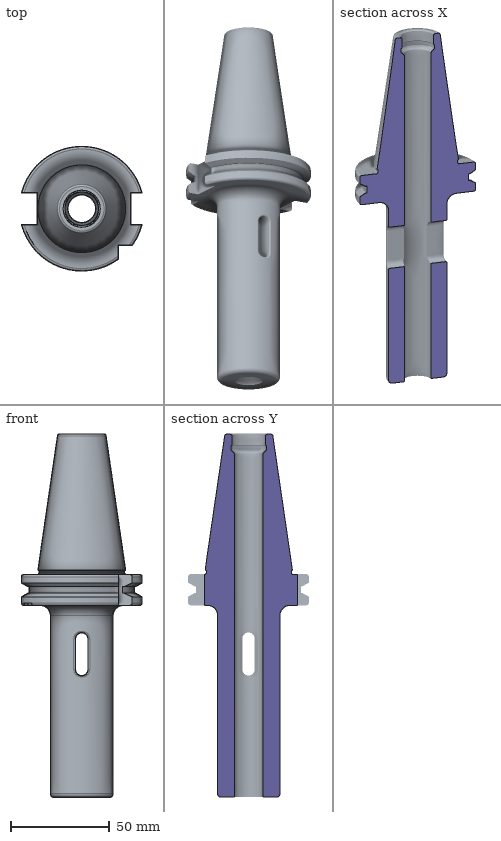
import cadquery as cq
import math

TOTAL_HEIGHT = 185.4
GAUGE_HEIGHT = 117.0
FLANGE_TOP = 113.8
FLANGE_BOTTOM = 97.9

GAUGE_RADIUS = 22.2
TAPER_SLOPE = 7 / 24 / 2
TAPER_OVERRUN = 1.0
TIP_FILLET = 1.1

RELIEF_DEPTH = 0.5
RELIEF_SIDE_HEIGHT = 0.5

FLANGE_RADIUS = 63.5 / 2
FLANGE_EDGE_FILLET = 1.3
GROOVE_HEIGHT = 105.9
GROOVE_WIDTH = 7.0
GROOVE_FLOOR_WIDTH = 3.3
GROOVE_FLOOR_RADIUS = 28.0
GROOVE_SIDE_ANGLE = 30

SLOT_WIDTH = 16.1
LEFT_SLOT_FLOOR = 22.8
RIGHT_SLOT_FLOOR = 25.0
NOTCH_OFFSET = 18.7

BODY_RADIUS = 32.0 / 2
NECK_FILLET = 5.0
BODY_END_FILLET = 2.0

BORE_RADIUS = 7.0
COUNTERBORE_RADIUS = 8.5
COUNTERBORE_DEPTH = 8.5
UNDERCUT_WIDTH = 2.8
UNDERCUT_STEP = 0.4
SEAT_DEPTH = 1.5
MOUTH_RADIUS = 9.5
MOUTH_DEPTH = 0.5

DRIFT_WIDTH = 6.3
DRIFT_LENGTH = 21.9
DRIFT_HEIGHT = 73.0
DRIFT_FILLET = 0.7


def taper_radius(height):
    return GAUGE_RADIUS - (height - GAUGE_HEIGHT) * TAPER_SLOPE


def make_body():
    """Cylinder with a rounded end, flaring into the flange underside."""
    corner = math.sqrt(0.5)
    end_mid = (
        BODY_RADIUS - BODY_END_FILLET * (1 - corner),
        BODY_END_FILLET * (1 - corner),
    )
    neck_mid = (
        BODY_RADIUS + NECK_FILLET * (1 - corner),
        FLANGE_BOTTOM - NECK_FILLET * (1 - corner),
    )
    return (
        cq.Workplane("XZ")
        .lineTo(BODY_RADIUS - BODY_END_FILLET, 0)
        .threePointArc(end_mid, (BODY_RADIUS, BODY_END_FILLET))
        .lineTo(BODY_RADIUS, FLANGE_BOTTOM - NECK_FILLET)
        .threePointArc(neck_mid, (BODY_RADIUS + NECK_FILLET, FLANGE_BOTTOM))
        .lineTo(0, FLANGE_BOTTOM)
        .close()
        .revolve(360, (0, 0), (0, 1))
    )


def flange_block(x_min, x_max, y_min, y_max):
    """Rectangular block as tall as the flange."""
    return (
        cq.Workplane("XY", origin=(x_min, y_min, FLANGE_BOTTOM))
        .rect(x_max - x_min, y_max - y_min, centered=False)
        .extrude(FLANGE_TOP - FLANGE_BOTTOM)
    )


def make_flange():
    """Disc with rounded rims, a V groove with a stepped floor, two drive slots and a notch."""
    flange = (
        cq.Workplane("XY", origin=(0, 0, FLANGE_BOTTOM))
        .circle(FLANGE_RADIUS)
        .extrude(FLANGE_TOP - FLANGE_BOTTOM)
        .edges()
        .fillet(FLANGE_EDGE_FILLET)
    )

    half_mouth = GROOVE_WIDTH / 2
    half_floor = GROOVE_FLOOR_WIDTH / 2
    side_depth = (half_mouth - half_floor) / math.tan(math.radians(GROOVE_SIDE_ANGLE))
    side_radius = FLANGE_RADIUS - side_depth
    groove = (
        cq.Workplane("XZ")
        .polyline([
            (FLANGE_RADIUS, GROOVE_HEIGHT - half_mouth),
            (side_radius, GROOVE_HEIGHT - half_floor),
            (GROOVE_FLOOR_RADIUS, GROOVE_HEIGHT - half_floor),
            (GROOVE_FLOOR_RADIUS, GROOVE_HEIGHT + half_floor),
            (side_radius, GROOVE_HEIGHT + half_floor),
            (FLANGE_RADIUS, GROOVE_HEIGHT + half_mouth),
        ])
        .close()
        .revolve(360, (0, 0), (0, 1))
    )
    flange = flange.cut(groove)

    left_slot = flange_block(-FLANGE_RADIUS, -LEFT_SLOT_FLOOR, -SLOT_WIDTH / 2, SLOT_WIDTH / 2)
    right_slot = flange_block(RIGHT_SLOT_FLOOR, FLANGE_RADIUS, -SLOT_WIDTH / 2, SLOT_WIDTH / 2)
    notch = flange_block(NOTCH_OFFSET, FLANGE_RADIUS, -FLANGE_RADIUS, -NOTCH_OFFSET)
    for block in (left_slot, right_slot, notch):
        flange = flange.cut(block)
    return flange


def make_taper():
    """Steep taper with a rounded tip, standing on the shallow relief groove."""
    taper_end = GAUGE_HEIGHT - TAPER_OVERRUN
    end_radius = taper_radius(taper_end)
    relief_radius = end_radius - RELIEF_DEPTH
    return (
        cq.Workplane("XZ")
        .moveTo(0, FLANGE_BOTTOM)
        .lineTo(relief_radius, FLANGE_BOTTOM)
        .lineTo(relief_radius, FLANGE_TOP)
        .lineTo(end_radius, FLANGE_TOP)
        .lineTo(relief_radius, FLANGE_TOP + RELIEF_SIDE_HEIGHT)
        .lineTo(relief_radius, taper_end - RELIEF_SIDE_HEIGHT)
        .lineTo(end_radius, taper_end)
        .lineTo(taper_radius(TOTAL_HEIGHT), TOTAL_HEIGHT)
        .lineTo(0, TOTAL_HEIGHT)
        .close()
        .revolve(360, (0, 0), (0, 1))
        .faces(">Z")
        .edges()
        .fillet(TIP_FILLET)
    )


def make_bore():
    """Through hole with a conical seat, an undercut counterbore and a chamfered mouth."""
    counterbore_floor = TOTAL_HEIGHT - COUNTERBORE_DEPTH
    return (
        cq.Workplane("XZ")
        .polyline([
            (0, 0),
            (BORE_RADIUS, 0),
            (BORE_RADIUS, counterbore_floor - SEAT_DEPTH),
            (COUNTERBORE_RADIUS, counterbore_floor),
            (COUNTERBORE_RADIUS + UNDERCUT_STEP, counterbore_floor + UNDERCUT_STEP),
            (COUNTERBORE_RADIUS + UNDERCUT_STEP, counterbore_floor + UNDERCUT_WIDTH - UNDERCUT_STEP),
            (COUNTERBORE_RADIUS, counterbore_floor + UNDERCUT_WIDTH),
            (COUNTERBORE_RADIUS, TOTAL_HEIGHT - MOUTH_DEPTH),
            (MOUTH_RADIUS, TOTAL_HEIGHT),
            (0, TOTAL_HEIGHT),
        ])
        .close()
        .revolve(360, (0, 0), (0, 1))
    )


def cut_drift_slot(body):
    """Round-ended slot across the body, rounded over where it opens outside."""
    slot = (
        cq.Workplane("XZ", origin=(0, 0, DRIFT_HEIGHT))
        .slot2D(DRIFT_LENGTH, DRIFT_WIDTH, 90)
        .extrude(BODY_RADIUS * 2, both=True)
    )
    slotted = body.cut(slot)
    mouths = cq.selectors.BoxSelector(
        (-DRIFT_WIDTH, -BODY_RADIUS, DRIFT_HEIGHT - DRIFT_LENGTH),
        (DRIFT_WIDTH, BODY_RADIUS, DRIFT_HEIGHT + DRIFT_LENGTH),
    )
    return slotted.edges(mouths).edges("not |Y").fillet(DRIFT_FILLET)


result = cut_drift_slot(make_body()).union(make_flange()).union(make_taper()).cut(make_bore())